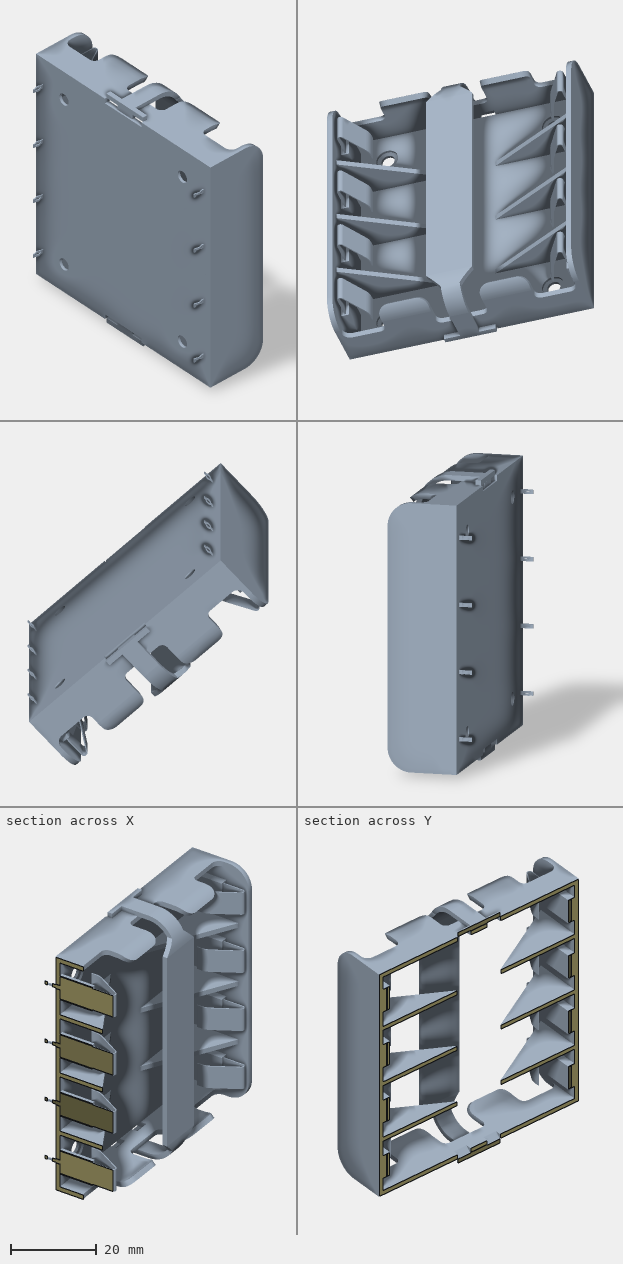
import cadquery as cq
import math


TRAY_LENGTH = 60.0
TRAY_HEIGHT = 64.0
TRAY_DEPTH = 16.65
SHELL = 1.3
CORNER_RADIUS = 5.65

TAB_SWEEP = 45
TAB_INNER_X = 6.3
TAB_OUTER_X = 18.35
TAB_CORNER_RADIUS = 2.65
CENTRE_GAP_FLOOR = 6.2
OUTER_GAP_FLOOR = 7.65
GAP_TAB_RADIUS = 1.5
GAP_SIDE_RADIUS = 2.0

HOLE_DIAMETER = 3.2
HOLE_X = 20.35
HOLE_LAND = 0.7
COUNTERBORE_DIAMETER = 5.3

CELL_COUNT = 4
CELL_PITCH = 16.0
DIVIDER_THICKNESS = 1.25
DIVIDER_TOP = 13.8
DIVIDER_ANGLE = 29

STRAP_THICKNESS = 1.25
STRAP_OUTER_RADIUS = 7.4
STRAP_LEG_WIDTH = 4.65
STRAP_TOP_WIDTH = 11.25
FOOT_WIDTH = 2 * TAB_INNER_X
FOOT_BOTTOM = 0.45
FOOT_TOP = 1.7

TONGUE_WIDTH = 5.05
NOTCH_BEVEL = SHELL
NOTCH_END = 1.5

CONTACT_THICKNESS = 0.25
CONTACT_X = 27.6
BLADE_WIDTH = 6.0
BEND_RADIUS = 0.8
BLADE_TOP = 16.5
FREE_END_X = 22.2
FREE_END_Y = 6.65
KNEE_RADIUS = 4.0
SPRING_ANGLE = 30
PIN_WIDTH = 1.0
PIN_LENGTH = 3.05
BOW_OFFSET = 0.25
BOW_START = 0.7
BOW_END = 2.45

BLOCK_TOP = 10.4
BLOCK_LENGTH = 1.9
BLOCK_WIDTH = 6.65

HALF_LENGTH = TRAY_LENGTH / 2
HALF_HEIGHT = TRAY_HEIGHT / 2
INNER_X = HALF_LENGTH - SHELL
INNER_Z = HALF_HEIGHT - SHELL
CORNER_Y = TRAY_DEPTH - CORNER_RADIUS
CORNER_Z = HALF_HEIGHT - CORNER_RADIUS
STRAP_HALF_HEIGHT = HALF_HEIGHT + STRAP_THICKNESS
CELL_Z = [(i - (CELL_COUNT - 1) / 2) * CELL_PITCH for i in range(CELL_COUNT)]
DIVIDER_Z = [(i - (CELL_COUNT - 2) / 2) * CELL_PITCH for i in range(CELL_COUNT - 1)]


def box(x_range, y_range, z_range):
    """Box between the given limits."""
    size = [r[1] - r[0] for r in (x_range, y_range, z_range)]
    corner = (x_range[0], y_range[0], z_range[0])
    return cq.Workplane("XY").box(*size, centered=False).translate(corner)


def both_sides(shape):
    """The shape and its mirror image in X."""
    return shape.union(shape.mirror("YZ"))


def rounded_channel(width, half_height, bottom, radius):
    """Block along X whose two edges on the open side are rounded."""
    block = box((-width / 2, width / 2), (bottom, TRAY_DEPTH), (-half_height, half_height))
    return block.edges("|X and >Y").fillet(radius)



def make_shell():
    outer = rounded_channel(TRAY_LENGTH, HALF_HEIGHT, 0, CORNER_RADIUS)
    cavity = (
        cq.Workplane("YZ")
        .moveTo(SHELL, -INNER_Z)
        .lineTo(CORNER_Y, -INNER_Z)
        .radiusArc((TRAY_DEPTH - SHELL, -CORNER_Z), -(CORNER_RADIUS - SHELL))
        .lineTo(TRAY_DEPTH, -CORNER_Z)
        .lineTo(TRAY_DEPTH, CORNER_Z)
        .lineTo(TRAY_DEPTH - SHELL, CORNER_Z)
        .radiusArc((CORNER_Y, INNER_Z), -(CORNER_RADIUS - SHELL))
        .lineTo(SHELL, INNER_Z)
        .close()
        .extrude(INNER_X, both=True)
    )
    return outer.cut(cavity)


def gap_cutters():
    """Gaps through the end walls on both sides of the tabs."""
    full_z = (-HALF_HEIGHT, HALF_HEIGHT)
    centre = box((-TAB_INNER_X, TAB_INNER_X), (CENTRE_GAP_FLOOR, TRAY_DEPTH), full_z)
    centre = centre.edges("|Z and <Y").fillet(GAP_TAB_RADIUS)
    outer = box((TAB_OUTER_X, INNER_X), (OUTER_GAP_FLOOR, TRAY_DEPTH), full_z)
    outer = outer.edges("|Z and <Y and <X").fillet(GAP_TAB_RADIUS)
    outer = outer.edges("|Z and <Y and >X").fillet(GAP_SIDE_RADIUS)
    return centre.union(both_sides(outer))


def tab_end_cutters():
    """Wedges about the corner arc centres that give each tab a radial end face."""
    reach = 2 * CORNER_RADIUS
    sweep = math.radians(TAB_SWEEP)
    wedge = (
        cq.Workplane("YZ", origin=(TAB_INNER_X, 0, 0))
        .moveTo(CORNER_Y, CORNER_Z)
        .lineTo(CORNER_Y + reach * math.sin(sweep), CORNER_Z + reach * math.cos(sweep))
        .lineTo(CORNER_Y + reach, CORNER_Z)
        .close()
        .extrude(TAB_OUTER_X - TAB_INNER_X)
    )
    wedges = both_sides(wedge)
    return wedges.union(wedges.mirror("XY"))


def round_tab_corners(tray):
    """Round the radial edges at the end of every tab."""
    sweep = math.radians(TAB_SWEEP)
    for z_sign in (-1, 1):
        radial = cq.Vector(0, math.sin(sweep), z_sign * math.cos(sweep))
        tray = tray.edges(cq.selectors.ParallelDirSelector(radial)).fillet(TAB_CORNER_RADIUS)
    return tray


def dividers():
    """Sloping gussets between the cells, against both side walls."""
    run = (DIVIDER_TOP - SHELL) / math.tan(math.radians(DIVIDER_ANGLE))
    gusset = (
        cq.Workplane("XY")
        .moveTo(INNER_X, SHELL)
        .lineTo(INNER_X, DIVIDER_TOP)
        .lineTo(INNER_X - run, SHELL)
        .close()
        .extrude(DIVIDER_THICKNESS / 2, both=True)
    )
    row = cq.Workplane("XY")
    for z in DIVIDER_Z:
        row = row.union(gusset.translate((0, 0, z)))
    return both_sides(row)


def contact_blocks():
    """Blocks on the side walls that hold the fixed ends of the contacts."""
    row = cq.Workplane("XY")
    for z in CELL_Z:
        z_range = (z - BLOCK_WIDTH / 2, z + BLOCK_WIDTH / 2)
        row = row.union(box((INNER_X - BLOCK_LENGTH, INNER_X), (SHELL, BLOCK_TOP), z_range))
    return both_sides(row)


def mounting_holes():
    """Corner holes through the floor, counterbored from inside."""
    points = [(x, z) for x in (-HOLE_X, HOLE_X) for z in (CELL_Z[0], CELL_Z[-1])]
    hole = cq.Workplane("XZ").pushPoints(points).circle(HOLE_DIAMETER / 2).extrude(-SHELL)
    counterbore = (
        cq.Workplane("XZ", origin=(0, HOLE_LAND, 0))
        .pushPoints(points)
        .circle(COUNTERBORE_DIAMETER / 2)
        .extrude(-(SHELL - HOLE_LAND))
    )
    return hole.union(counterbore)


def latch_notches():
    """Notch through each end wall with a bevelled end and a recessed central tongue."""
    notch = (
        cq.Workplane("YZ")
        .moveTo(0, INNER_Z)
        .lineTo(NOTCH_END + NOTCH_BEVEL, INNER_Z)
        .lineTo(NOTCH_END, HALF_HEIGHT)
        .lineTo(0, HALF_HEIGHT)
        .close()
        .extrude(FOOT_WIDTH / 2, both=True)
    )
    tongue = box(
        (-TONGUE_WIDTH / 2, TONGUE_WIDTH / 2), (FOOT_BOTTOM, TRAY_DEPTH), (INNER_Z, HALF_HEIGHT)
    )
    notch = notch.cut(tongue)
    return notch.union(notch.mirror("XY"))


def make_tray():
    tray = make_shell().cut(gap_cutters()).cut(tab_end_cutters())
    tray = round_tab_corners(tray)
    tray = tray.union(dividers()).union(contact_blocks())
    return tray.cut(mounting_holes()).cut(latch_notches())



def make_strap():
    band = rounded_channel(STRAP_TOP_WIDTH, STRAP_HALF_HEIGHT, FOOT_BOTTOM, STRAP_OUTER_RADIUS)
    inside = rounded_channel(
        STRAP_TOP_WIDTH, HALF_HEIGHT, FOOT_BOTTOM, STRAP_OUTER_RADIUS - STRAP_THICKNESS
    ).translate((0, -STRAP_THICKNESS, 0))
    legs_gap = box(
        (-STRAP_TOP_WIDTH / 2, STRAP_TOP_WIDTH / 2), (0, FOOT_TOP), (-HALF_HEIGHT, HALF_HEIGHT)
    )
    band = band.cut(inside).cut(legs_gap)

    flare = (STRAP_TOP_WIDTH - STRAP_LEG_WIDTH) / 2
    wide_z = STRAP_HALF_HEIGHT - STRAP_OUTER_RADIUS
    leg_x = STRAP_LEG_WIDTH / 2
    side_cut = (
        cq.Workplane("XZ")
        .moveTo(leg_x + flare, wide_z)
        .lineTo(leg_x, wide_z + flare)
        .lineTo(leg_x, STRAP_HALF_HEIGHT)
        .lineTo(leg_x + flare, STRAP_HALF_HEIGHT)
        .close()
        .extrude(-TRAY_DEPTH)
    )
    side_cuts = both_sides(side_cut)
    band = band.cut(side_cuts).cut(side_cuts.mirror("XY"))

    foot = box(
        (-FOOT_WIDTH / 2, FOOT_WIDTH / 2),
        (FOOT_BOTTOM, FOOT_TOP),
        (HALF_HEIGHT, STRAP_HALF_HEIGHT),
    )
    return band.union(foot).union(foot.mirror("XY"))



def make_blade():
    """Bent spring strip of the contact at +X, centred on Z = 0."""
    half = CONTACT_THICKNESS / 2
    bend = BEND_RADIUS - half
    slope = math.radians(SPRING_ANGLE)
    bend_x = CONTACT_X - bend
    bend_y = BLADE_TOP - BEND_RADIUS
    leave = (bend_x - bend * math.cos(slope), bend_y + bend * math.sin(slope))
    knee_x = FREE_END_X + KNEE_RADIUS * (1 - math.cos(slope))
    knee_y = leave[1] - (leave[0] - knee_x) / math.tan(slope)
    free_y = knee_y - KNEE_RADIUS * math.sin(slope)
    path = (
        cq.Workplane("XY")
        .moveTo(CONTACT_X, SHELL + half)
        .lineTo(CONTACT_X, bend_y)
        .threePointArc((bend_x + bend * math.sin(slope / 2), bend_y + bend * math.cos(slope / 2)), leave)
        .lineTo(knee_x, knee_y)
        .radiusArc((FREE_END_X, free_y), -KNEE_RADIUS)
        .lineTo(FREE_END_X, FREE_END_Y)
    )
    return path.offset2D(half).extrude(BLADE_WIDTH / 2, both=True)


def make_pin_leg(direction, z_range):
    """One half of the split pin, bowed to one side."""
    left = CONTACT_X - CONTACT_THICKNESS / 2
    right = CONTACT_X + CONTACT_THICKNESS / 2
    bow = direction * BOW_OFFSET
    pin_top = SHELL + CONTACT_THICKNESS
    crest_y = -(BOW_START + BOW_END) / 2
    leg = (
        cq.Workplane("XY")
        .moveTo(left, pin_top)
        .lineTo(left, -BOW_START)
        .threePointArc((left + bow, crest_y), (left, -BOW_END))
        .lineTo(left, -PIN_LENGTH)
        .lineTo(right, -PIN_LENGTH)
        .lineTo(right, -BOW_END)
        .threePointArc((right + bow, crest_y), (right, -BOW_START))
        .lineTo(right, pin_top)
        .close()
    )
    return leg.extrude(z_range[1] - z_range[0]).translate((0, 0, z_range[0]))


def make_contact():
    upper = make_pin_leg(1, (0, PIN_WIDTH / 2))
    lower = make_pin_leg(-1, (-PIN_WIDTH / 2, 0))
    return make_blade().union(upper).union(lower)


right_contact = make_contact()
left_contact = right_contact.mirror("YZ")
contacts = []
for cell_z in CELL_Z:
    for contact in (left_contact, right_contact):
        contacts.append(contact.translate((0, 0, cell_z)))

tray = make_tray()
for contact in contacts:
    tray = tray.cut(contact)
strap = make_strap()

result = cq.Compound.makeCompound([tray.val(), strap.val(), *[c.val() for c in contacts]])